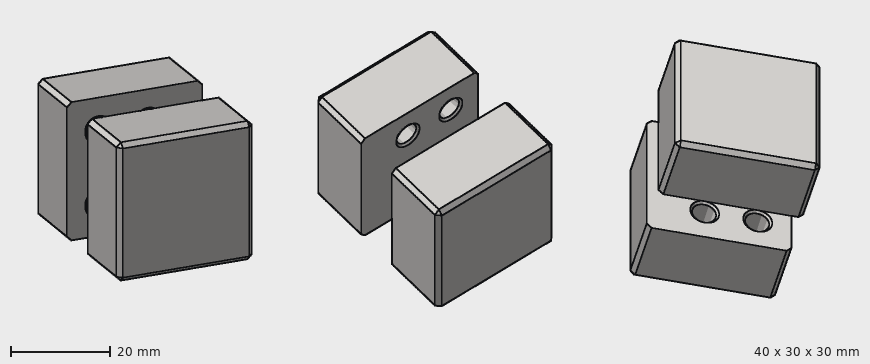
import cadquery as cq

overall_length = 40.0
jaw_size = 30.0
jaw_thickness = 15.0
edge_chamfer = 1.0

hole_diameter = 5.0
hole_depth = 10.0
hole_mouth_diameter = 6.0
hole_side_y = -8.0
hole_spacing_y = 11.0
hole_spacing_z = 16.0

inner_face_x = overall_length / 2 - jaw_thickness
hole_centres = [
    (hole_side_y + column * hole_spacing_y, side * hole_spacing_z / 2)
    for column in (0, 1)
    for side in (-1, 1)
]


def jaw_block():
    """Square block with every edge chamfered except those around its inner face."""
    block = cq.Workplane("YZ", origin=(inner_face_x, 0, 0)).rect(jaw_size, jaw_size).extrude(jaw_thickness)
    return block.edges("|X or >X").chamfer(edge_chamfer)


def blind_holes():
    """Cutting tool for the holes, each with a countersunk 45 degree mouth."""
    inner_face = cq.Workplane("YZ", origin=(inner_face_x, 0, 0)).pushPoints(hole_centres)
    bores = inner_face.circle(hole_diameter / 2).extrude(hole_depth)
    mouth_depth = (hole_mouth_diameter - hole_diameter) / 2
    mouths = inner_face.circle(hole_mouth_diameter / 2).extrude(mouth_depth, taper=45)
    return bores.union(mouths)


def make_jaw():
    """Jaw on the +X side, with its inner face toward the gap."""
    return jaw_block().cut(blind_holes())


right_jaw = make_jaw()
left_jaw = make_jaw().mirror("YZ")

result = cq.Compound.makeCompound([left_jaw.val(), right_jaw.val()])